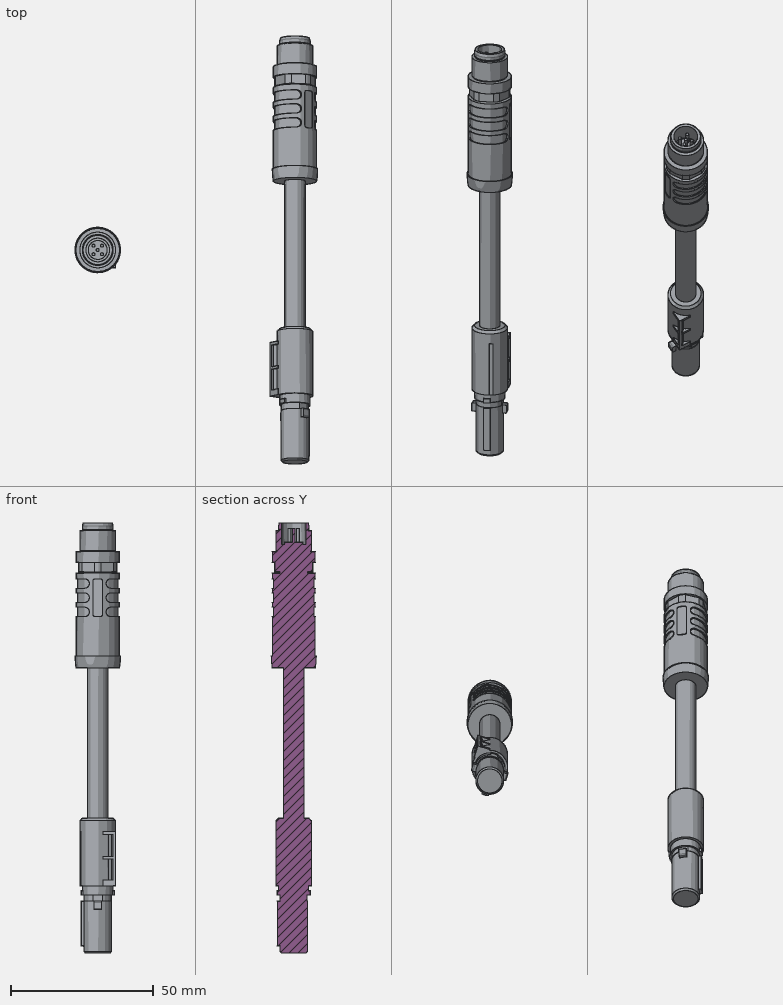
import cadquery as cq
import math

total_height = 150.8

cable_radius = 3.6

rim_radius = 5.5
rim_top_radius = 5.1
rim_taper_height = 1.0
rim_groove_radius = 5.1
rim_groove_height = 0.5
thread_radius = 6.26
thread_top = 148.1
thread_relief_radius = 5.9
thread_relief_height = 0.5
collar_radius = 7.62
collar_top = 140.7
hex_top = 137.0
hex_bottom = 133.7
hex_flat_distance = 6.71
hex_corner_radius = 7.17
plug_neck_radius = 5.0
body_top = 133.2
body_bottom = 100.0
body_radius = 7.62
skirt_top = 104.2
skirt_radius = 8.0
skirt_bulge_radius = 7.92

socket_radius = 4.15
socket_floor = 143.3
pin_radius = 0.53
pin_circle_radius = 2.1
pin_top = 148.9
outer_pin_count = 4
insert_radius = 3.3
insert_top = 144.0

groove_count = 3
groove_width = 3.3
groove_pitch = 5.0
groove_top = 131.2
groove_depth = 0.5
groove_inner_end = 2.94
flat_width = 3.5
flat_corner_radius = 0.9
flat_distance = 7.32
flat_height = (groove_count - 1) * groove_pitch + groove_width

grip_radius = 6.26
grip_top = 47.4
grip_bottom = 23.5
grip_chamfer = 0.9
slit_width = 1.4
slit_center = -1.58
slit_depth = 0.5

holder_top = 42.7
holder_post_inner = 5.3
holder_web_thickness = 1.5
gusset_inner = 1.8
gusset_heights = ((41.6, holder_top), (33.0, 34.0), (grip_bottom, 25.6))

shoulder_radius = 5.35
shoulder_bottom = 20.4
lug_reach = 5.81
lug_width = 2.4
lug_height = 1.5
barrel_radius = 4.9
lower_neck_radius = 4.8
barrel_top = 18.3
barrel_chamfer = 0.6
neck_flat_distance = 4.5
bayonet_reach = 6.26
bayonet_width = 2.5
bayonet_height = 3.0
bayonet_rounding = 0.5
key_reach = 5.81
key_width = 2.4
key_bottom = 2.5


def cylinder(radius, bottom, top):
    return cq.Workplane("XY").workplane(offset=bottom).circle(radius).extrude(top - bottom)


def block(x_range, y_range, z_range):
    """Box given by its lowest and highest coordinate along each axis."""
    size = [high - low for low, high in (x_range, y_range, z_range)]
    low_corner = (x_range[0], y_range[0], z_range[0])
    return cq.Workplane("XY").box(*size, centered=False).translate(low_corner)


def both_sides(shape):
    """The shape together with its copy half a turn around Z."""
    return shape.union(shape.rotate((0, 0, 0), (0, 0, 1), 180))


def turned_core():
    """All round sections in one revolved outline, from the top rim to the tip of the barrel."""
    groove_top_level = thread_top + rim_groove_height
    relief_top = collar_top + thread_relief_height
    plug_side = [
        (0, total_height),
        (rim_top_radius, total_height),
        (rim_radius, total_height - rim_taper_height),
        (rim_radius, groove_top_level),
        (rim_groove_radius, groove_top_level),
        (rim_groove_radius, thread_top),
        (thread_radius, thread_top),
        (thread_radius, relief_top),
        (thread_relief_radius, collar_top),
        (collar_radius, collar_top),
        (collar_radius, hex_top),
        (plug_neck_radius, hex_top),
        (plug_neck_radius, body_top),
        (body_radius, body_top),
        (body_radius, skirt_top),
        (skirt_radius, skirt_top),
    ]
    lower_side = [
        (cable_radius, body_bottom),
        (cable_radius, grip_top),
        (grip_radius - grip_chamfer, grip_top),
        (grip_radius, grip_top - grip_chamfer),
        (grip_radius, grip_bottom),
        (shoulder_radius, grip_bottom),
        (shoulder_radius, shoulder_bottom),
        (lower_neck_radius, shoulder_bottom),
        (lower_neck_radius, barrel_top),
        (barrel_radius, barrel_top),
        (barrel_radius, barrel_chamfer),
        (barrel_radius - barrel_chamfer, 0),
        (0, 0),
    ]
    return (
        cq.Workplane("XZ")
        .polyline(plug_side)
        .threePointArc((skirt_bulge_radius, (skirt_top + body_bottom) / 2), (body_radius, body_bottom))
        .polyline(lower_side, includeCurrent=True)
        .close()
        .revolve(360, (0, 0), (0, 1))
    )


def hex_nut():
    """Hexagon with flats facing +X and -X, its corners turned off round."""
    corner_diameter = 2 * hex_flat_distance / math.cos(math.radians(30))
    prism = (
        cq.Workplane("XY")
        .workplane(offset=hex_bottom)
        .polygon(6, corner_diameter)
        .extrude(hex_top - hex_bottom)
        .rotate((0, 0, 0), (0, 0, 1), 30)
    )
    return prism.intersect(cylinder(hex_corner_radius, hex_bottom, hex_top))


def socket():
    """Round socket around a raised contact insert."""
    bore = cylinder(socket_radius, socket_floor, total_height)
    return bore.cut(cylinder(insert_radius, socket_floor, insert_top))


def pins():
    """One pin in the middle and a ring of pins around it, on the diagonals."""
    ring = (
        cq.Workplane("XY")
        .workplane(offset=socket_floor)
        .polarArray(pin_circle_radius, 45, 360, outer_pin_count)
        .circle(pin_radius)
        .extrude(pin_top - socket_floor)
    )
    return ring.union(cylinder(pin_radius, socket_floor, pin_top))


def finger_grooves():
    """Round-ended grooves that wrap around the +X and -X sides of the body."""
    length = 2 * body_radius
    slot_center = groove_inner_end + length / 2
    grooves = cq.Workplane("XY")
    for index in range(groove_count):
        middle = groove_top - groove_width / 2 - index * groove_pitch
        slot = (
            cq.Workplane("XZ")
            .center(slot_center, middle)
            .slot2D(length, groove_width)
            .extrude(skirt_radius, both=True)
        )
        grooves = grooves.union(slot)
    floor = cylinder(body_radius - groove_depth, body_bottom, body_top)
    return both_sides(grooves).cut(floor)


def body_flats():
    """Tall flats with rounded corners on the -Y and +Y sides of the body."""
    flat = (
        cq.Workplane("XZ", origin=(0, -flat_distance, groove_top - flat_height / 2))
        .rect(flat_width, flat_height)
        .extrude(body_radius - flat_distance)
        .edges("|Y")
        .fillet(flat_corner_radius)
    )
    return both_sides(flat)


def grip_slit():
    """Shallow upright slit in the -X side of the grip."""
    y_range = (slit_center - slit_width / 2, slit_center + slit_width / 2)
    return block((-grip_radius, slit_depth - grip_radius), y_range, (grip_bottom, holder_top))


def corner_block(near, far, height):
    """Block standing square in the +X -Y corner, spanning near to far along both axes."""
    return block((near, far), (-far, -near), height)


def label_holder():
    """Square corner beside the round grip, hollowed to a diagonal web, a corner post and gussets."""
    height = (grip_bottom, holder_top)
    half_web = holder_web_thickness / 2
    web = block((0, holder_post_inner * math.sqrt(2)), (-half_web, half_web), height)
    holder = web.rotate((0, 0, 0), (0, 0, 1), -45)
    holder = holder.union(corner_block(holder_post_inner, grip_radius, height))
    for gusset_height in gusset_heights:
        holder = holder.union(corner_block(gusset_inner, grip_radius, gusset_height))
    return holder


def shoulder_lugs():
    """Lugs on the -X and +X sides, at the lower end of the shoulder."""
    return block(
        (-lug_reach, lug_reach),
        (-lug_width / 2, lug_width / 2),
        (shoulder_bottom, shoulder_bottom + lug_height),
    )


def neck_flats():
    """Flats on the -Y and +Y sides, between the shoulder and the bayonet studs."""
    flat = block(
        (-barrel_radius, barrel_radius),
        (-barrel_radius, -neck_flat_distance),
        (barrel_top, shoulder_bottom),
    )
    return both_sides(flat)


def bayonet_studs():
    """Studs standing out on the -Y and +Y sides, at the upper end of the barrel."""
    studs = block(
        (-bayonet_width / 2, bayonet_width / 2),
        (-bayonet_reach, bayonet_reach),
        (barrel_top - bayonet_height, barrel_top),
    )
    return studs.edges("|X").fillet(bayonet_rounding)


def barrel_key():
    """Long key on the -X side, its outer face rounded about the barrel axis."""
    key = block((-key_reach, 0), (-key_width / 2, key_width / 2), (key_bottom, barrel_top))
    return key.intersect(cylinder(key_reach, key_bottom, barrel_top))


result = turned_core().union(hex_nut())
result = result.cut(socket()).union(pins())
result = result.cut(finger_grooves()).cut(body_flats())
result = result.cut(grip_slit()).union(label_holder())
result = result.cut(neck_flats()).union(shoulder_lugs())
result = result.union(bayonet_studs()).union(barrel_key())